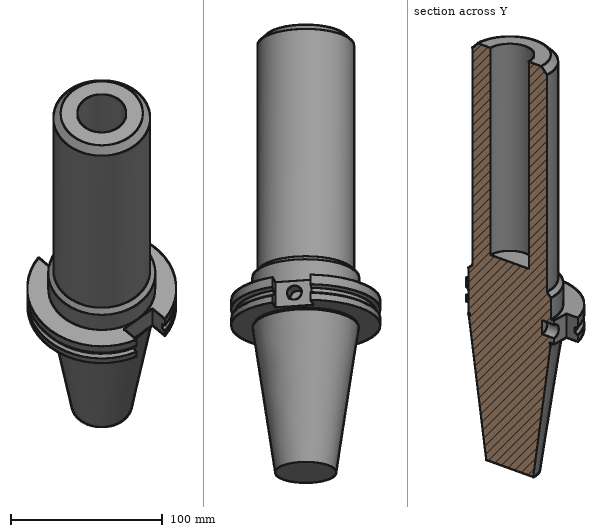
import cadquery as cq

total_height = 304.8
gauge_height = 101.8
flange_bottom = 103.3
flange_top = 121.0
collar_top = 140.2

gauge_radius = 35.0
taper_ratio = 7 / 24
tip_radius = gauge_radius - gauge_height * taper_ratio / 2
neck_radius = 34.0
flange_radius = 49.23
collar_radius = 35.5
body_radius = 32.0
collar_chamfer = collar_radius - body_radius
nose_chamfer = 5.0

groove_bottom = 108.2
groove_top = 114.3
groove_depth = 2.7
groove_wall = 1.5
groove_radius = flange_radius - groove_depth

bore_radius = 16.2
bore_depth = 152.5

slot_width = 25.5
slot_floor_left = 37.8
slot_floor_right = 35.5

side_hole_radius = 5.0
side_hole_depth = 10.0
side_hole_height = 112.8


def turned_body():
    """Taper, grooved flange, collar and cylindrical body in one revolution."""
    profile = [
        (0, 0),
        (tip_radius, 0),
        (gauge_radius, gauge_height),
        (neck_radius, flange_bottom),
        (flange_radius, flange_bottom),
        (flange_radius, groove_bottom),
        (groove_radius, groove_bottom + groove_wall),
        (groove_radius, groove_top - groove_wall),
        (flange_radius, groove_top),
        (flange_radius, flange_top),
        (collar_radius, flange_top),
        (collar_radius, collar_top - collar_chamfer),
        (body_radius, collar_top),
        (body_radius, total_height - nose_chamfer),
        (body_radius - nose_chamfer, total_height),
        (0, total_height),
    ]
    return cq.Workplane("XZ").polyline(profile).close().revolve(360, (0, 0), (0, 1))


def bore():
    start = cq.Workplane("XY").workplane(offset=total_height - bore_depth)
    return start.circle(bore_radius).extrude(bore_depth)


def drive_slot(side, floor):
    """Block that cuts the flange outward from a flat floor; side is -1 or +1."""
    radial_length = flange_radius - floor
    height = flange_top - flange_bottom
    block = cq.Workplane("XY").box(radial_length, slot_width, height)
    return block.translate((side * (floor + radial_length / 2), 0, flange_bottom + height / 2))


def side_hole():
    start = cq.Workplane("YZ", origin=(-slot_floor_left, 0, side_hole_height))
    return start.circle(side_hole_radius).extrude(side_hole_depth)


result = (
    turned_body()
    .cut(bore())
    .cut(drive_slot(-1, slot_floor_left))
    .cut(drive_slot(1, slot_floor_right))
    .cut(side_hole())
)